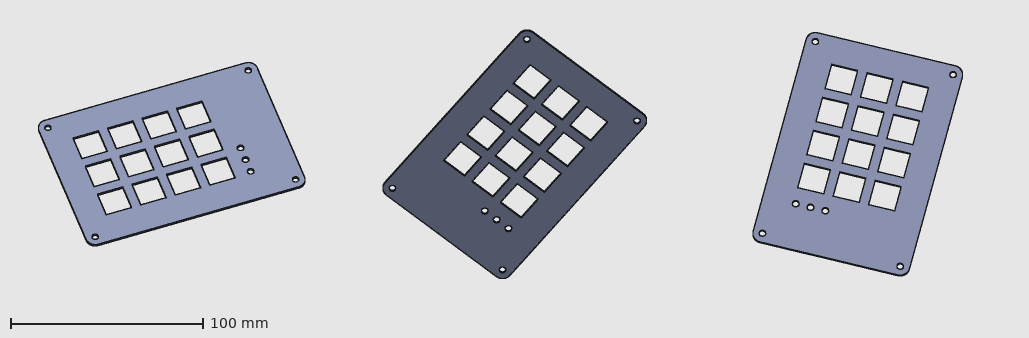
import cadquery as cq

plate_width = 84.0
plate_length = 120.5
plate_thickness = 1.5

screw_hole_diameter = 3.4
screw_spacing_x = 74.0
screw_spacing_y = 110.5
corner_radius = (plate_width - screw_spacing_x) / 2

key_columns = 3
key_rows = 4
key_pitch = 19.0
key_cutout_size = 14.0
key_grid_x = -0.42
key_grid_y = -key_pitch / 2

indicator_hole_diameter = 3.5
indicator_count = 3
indicator_pitch = 8.0
indicator_middle_x = 16.4
indicator_y = 35


def make_plate():
    """Flat rounded rectangle, centred in X and Y, resting on Z = 0."""
    plate = cq.Workplane("XY").box(
        plate_width, plate_length, plate_thickness, centered=(True, True, False)
    )
    return plate.edges("|Z").fillet(corner_radius)


def cut_screw_holes(plate):
    return (
        plate.faces(">Z")
        .workplane(origin=(0, 0, plate_thickness))
        .rarray(screw_spacing_x, screw_spacing_y, 2, 2)
        .hole(screw_hole_diameter)
    )


def cut_key_openings(plate):
    return (
        plate.faces(">Z")
        .workplane(origin=(key_grid_x, key_grid_y, plate_thickness))
        .rarray(key_pitch, key_pitch, key_columns, key_rows)
        .rect(key_cutout_size, key_cutout_size)
        .cutThruAll()
    )


def cut_indicator_holes(plate):
    return (
        plate.faces(">Z")
        .workplane(origin=(indicator_middle_x, indicator_y, plate_thickness))
        .rarray(indicator_pitch, 1.2, indicator_count, 1)
        .hole(indicator_hole_diameter)
    )


result = make_plate()
result = cut_screw_holes(result)
result = cut_key_openings(result)
result = cut_indicator_holes(result)